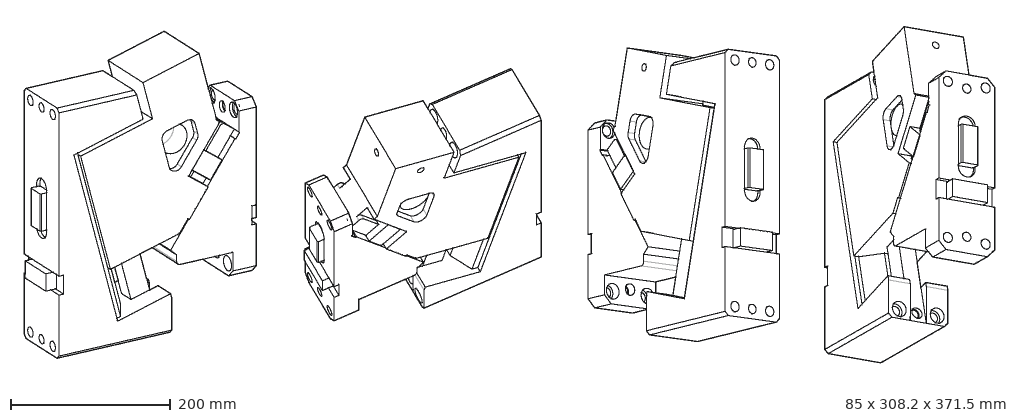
import cadquery as cq
import math

THROUGH = 1486.5

TILT = math.radians(15.0)
BORE_Y = 173.0
OVERALL_HEIGHT = 371.5
HEAD_TOP = 100.5
HEAD_BACK = 60.0
BORE_Z = OVERALL_HEIGHT - HEAD_TOP * math.cos(TILT) - HEAD_BACK * math.sin(TILT)
SEAM_ANGLE = math.radians(54.4)
SEAM_FOOT_Y = 164.5
SEAM_FOOT_Z = 112.2
SEAM_LENGTH = 171.3

SIDE_PLANE = cq.Plane.YZ()
TILTED_PLANE = cq.Plane(
    origin=(0, BORE_Y, BORE_Z), xDir=(0, math.cos(TILT), math.sin(TILT)), normal=(1, 0, 0)
)
SEAM_PLANE = cq.Plane(
    origin=(0, SEAM_FOOT_Y, SEAM_FOOT_Z),
    xDir=(0, math.cos(SEAM_ANGLE), math.sin(SEAM_ANGLE)),
    normal=(1, 0, 0),
)

HOUSING_WIDTH = 85.0
HOUSING_DEPTH = 165.0
HOUSING_HEIGHT = 339.5
HOUSING_CHAMFER = 5.0
NOTCH_TOP = 52.5
NOTCH_BOTTOM = -195.0
NOTCH_FRONT = -142.7
UPPER_ARM_END = -38.0
LOWER_ARM_END = -62.5
PAD_WIDTH = 71.5
PAD_TIP_WIDTH = 15.5
PAD_SHOULDER = -134.0
PAD_TIP = -117.0
BAR_FRONT = -103.3
BAR_BACK = -75.0
BAR_WIDTH = 23.0

SLIDER_WIDTH = HOUSING_WIDTH
SLIDER_FRONT = PAD_SHOULDER
SLIDER_SHOULDER = 46.5
SLIDER_BOTTOM = -122.2
HEAD_FRONT = -25.3
BORE_DIAMETER = 40.0
WINDOW_TOP = 20.8
WINDOW_FRONT = -20.0
WINDOW_BACK = 29.7
WINDOW_SLANT = -8.5
WINDOW_FILLET = 10.0
WINDOW_DEPTH = 10.0
OIL_HOLE_DIAMETER = 9.3
OIL_HOLE_HEIGHT = 80.3
OIL_HOLE_SETBACK = 18.0

TONGUE_WIDTH = 59.5
NECK_WIDTH = 47.0
TONGUE_LENGTH = 78.8
TONGUE_THICKNESS = 22.3
TONGUE_FILLET = 5.0
TONGUE_RECESS = 35.5
LUG_START = 101.0
LUG_LENGTH = 29.5
LUG_HEIGHT = 33.0
LUG_SPAN = 78.0
SEAM_GAP = 0.5
HEEL_RELIEF = 3.0
HEEL_LENGTH = 45.5
TIP_RELIEF = 1.5
TIP_RELIEF_LENGTH = 9.5

BRACKET_WIDTH = 80.3
BRACKET_BACK = 290.2
BRACKET_TOP = 290.2
BRACKET_BOTTOM = 54.3
BRACKET_CHAMFER = 10.5
UPPER_PLATE_FRONT = SEAM_FOOT_Y + SEAM_LENGTH * math.cos(SEAM_ANGLE)
LOWER_PLATE_FRONT = 255.5
WEDGE_BOTTOM = 90.0
WEDGE_FRONT = 173.5
WEDGE_NOSE_TOP = 104.0
WEDGE_FILLET = 5.2

HOLE_SPACING = 27.0
SCREW_DIAMETER = 13.0
SCREW_HEAD_DIAMETER = 19.7
PIN_DIAMETER = 12.0
PIN_HEAD_DIAMETER = 14.5
HOUSING_HOLE_MARGIN = 12.5
UPPER_ARM_SEAT_Y = 104.0
LOWER_ARM_SEAT_Y = 154.0
BRACKET_TOP_HOLE_MARGIN = 13.5
BRACKET_BOTTOM_HOLE_MARGIN = 16.5
BRACKET_HEAD_RECESS = 4.5
BRACKET_PIN_INSET = 5.2

KEY_RISE = 9.0
TAB_WIDTH = 24.0
TAB_HEIGHT = 50.5
TAB_SLOT_HEIGHT = 80.3
TAB_SLOT_DEPTH = 5.0
TAB_CHAMFER = 1.5
HOUSING_TAB_Z = 190.2
BRACKET_TAB_Z = 195.0
CROSS_KEY_WIDTH = 50.0
CROSS_KEY_HEIGHT = 23.5
GROOVE_HEIGHT = 25.5
GROOVE_DEPTH = 6.7
HOUSING_KEY_Z = 100.5
BRACKET_KEY_Z = 134.0


def slab(plane, points, width):
    """Polygon on a side-on plane, extruded evenly to both sides of X = 0."""
    return cq.Workplane(plane).polyline(points).close().extrude(width / 2, both=True)


def block(plane, low, high, width):
    """Rectangle between two corners on a side-on plane, extruded evenly to both sides of X = 0."""
    (a0, b0), (a1, b1) = low, high
    return slab(plane, [(a0, b0), (a1, b0), (a1, b1), (a0, b1)], width)


def cylinder(x, y, z, diameter, length):
    """Cylinder along +Y that starts at the given point."""
    return cq.Workplane("XY").add(
        cq.Solid.makeCylinder(diameter / 2, length, cq.Vector(x, y, z), cq.Vector(0, 1, 0))
    )


def screw_row(screw_z, pin_z, seat_y, head_side):
    """Two screw holes with a pin hole between them, each widened for its head beyond the seat.

    `head_side` is +1 or -1, the Y direction from the seat towards the heads.
    """
    head_start = seat_y if head_side > 0 else seat_y - THROUGH
    holes = cq.Workplane("XY")
    for column in (-1, 0, 1):
        is_pin = column == 0
        x = column * HOLE_SPACING
        z = pin_z if is_pin else screw_z
        shank_diameter = PIN_DIAMETER if is_pin else SCREW_DIAMETER
        head_diameter = PIN_HEAD_DIAMETER if is_pin else SCREW_HEAD_DIAMETER
        holes = holes.add(cylinder(x, -THROUGH / 2, z, shank_diameter, THROUGH))
        holes = holes.add(cylinder(x, head_start, z, head_diameter, THROUGH))
    return holes.combine()


def add_keys(body, face, outward, tab_z, key_z, width):
    """Slot and groove in a mounting face, each with a key that stands proud of it."""
    slot = (
        cq.Workplane("XZ", origin=(0, face, tab_z))
        .slot2D(TAB_SLOT_HEIGHT, TAB_WIDTH, 90)
        .extrude(TAB_SLOT_DEPTH, both=True)
    )
    groove = cq.Workplane("XY").box(width, 2 * GROOVE_DEPTH, GROOVE_HEIGHT).translate((0, face, key_z))
    tab_length = KEY_RISE + TAB_SLOT_DEPTH
    tab = cq.Workplane("XY").box(TAB_WIDTH, tab_length, TAB_HEIGHT).edges("|Z").chamfer(TAB_CHAMFER)
    tab = tab.translate((0, face + outward * (KEY_RISE - tab_length / 2), tab_z))
    key_length = KEY_RISE + GROOVE_DEPTH
    key = cq.Workplane("XY").box(CROSS_KEY_WIDTH, key_length, CROSS_KEY_HEIGHT)
    key = key.translate((0, face + outward * (KEY_RISE - key_length / 2), key_z))
    return body.cut(slot).cut(groove).union(tab).union(key)


def chamfered_box(width, chamfer, y_front, y_back, z_bottom, z_top):
    """Box whose four edges along Y are chamfered."""
    box = cq.Workplane("XY").box(width, y_back - y_front, z_top - z_bottom)
    box = box.edges("|Y").chamfer(chamfer)
    return box.translate((0, (y_front + y_back) / 2, (z_bottom + z_top) / 2))


def guide_pad():
    """Pad on the notch wall: a straight foot, then flanks that taper towards its back."""
    pad = [
        (-PAD_WIDTH / 2, NOTCH_FRONT),
        (PAD_WIDTH / 2, NOTCH_FRONT),
        (PAD_WIDTH / 2, PAD_SHOULDER),
        (PAD_TIP_WIDTH / 2, PAD_TIP),
        (-PAD_TIP_WIDTH / 2, PAD_TIP),
        (-PAD_WIDTH / 2, PAD_SHOULDER),
    ]
    cross_section = cq.Plane(
        origin=TILTED_PLANE.toWorldCoords((0, NOTCH_BOTTOM)), xDir=(1, 0, 0), normal=TILTED_PLANE.yDir
    )
    return cq.Workplane(cross_section).polyline(pad).close().extrude(NOTCH_TOP - NOTCH_BOTTOM)


def guide_bar():
    return block(TILTED_PLANE, (BAR_FRONT, NOTCH_BOTTOM), (BAR_BACK, NOTCH_TOP), BAR_WIDTH)


def make_housing():
    body = chamfered_box(HOUSING_WIDTH, HOUSING_CHAMFER, 0, HOUSING_DEPTH, 0, HOUSING_HEIGHT)
    notch = block(TILTED_PLANE, (NOTCH_FRONT, NOTCH_BOTTOM), (THROUGH, NOTCH_TOP), THROUGH)
    above_arm = block(TILTED_PLANE, (UPPER_ARM_END, NOTCH_TOP), (THROUGH, THROUGH), THROUGH)
    below_arm = block(TILTED_PLANE, (LOWER_ARM_END, -THROUGH), (THROUGH, NOTCH_BOTTOM), THROUGH)
    arm_slot = block(TILTED_PLANE, (BAR_BACK, -THROUGH), (THROUGH, NOTCH_BOTTOM), BAR_WIDTH)
    body = body.cut(notch).cut(above_arm).cut(below_arm).cut(arm_slot)
    upper_z = HOUSING_HEIGHT - HOUSING_HOLE_MARGIN
    lower_z = HOUSING_HOLE_MARGIN
    body = body.cut(screw_row(upper_z, upper_z, UPPER_ARM_SEAT_Y, 1))
    body = body.cut(screw_row(lower_z, lower_z, LOWER_ARM_SEAT_Y, 1))
    body = body.union(guide_pad()).union(guide_bar())
    return add_keys(body, 0, -1, HOUSING_TAB_Z, HOUSING_KEY_Z, HOUSING_WIDTH)


def tongue_cutters():
    """Material removed around the T-shaped tongue: one pocket per side, undercut at the neck."""
    tongue_foot = SEAM_LENGTH - TONGUE_LENGTH
    recess = block(SEAM_PLANE, (tongue_foot, 0), (SEAM_LENGTH, TONGUE_RECESS), SLIDER_WIDTH)
    head = block(SEAM_PLANE, (tongue_foot, 0), (SEAM_LENGTH, TONGUE_THICKNESS), TONGUE_WIDTH)
    head = head.edges("|X").edges(
        cq.selectors.NearestToPointSelector(SEAM_PLANE.toWorldCoords((SEAM_LENGTH, TONGUE_THICKNESS)))
    ).fillet(TONGUE_FILLET)
    neck = block(SEAM_PLANE, (tongue_foot, 0), (SEAM_LENGTH, TONGUE_RECESS), NECK_WIDTH)
    return recess.cut(head).cut(neck)


def window_pocket():
    """Rounded four-sided pocket around the bore, its slanted edge parallel to the seam."""
    slope = math.tan(SEAM_ANGLE - TILT)
    front_low = WINDOW_SLANT - (WINDOW_BACK - WINDOW_FRONT) * slope
    points = [
        (WINDOW_FRONT, WINDOW_TOP),
        (WINDOW_BACK, WINDOW_TOP),
        (WINDOW_BACK, WINDOW_SLANT),
        (WINDOW_FRONT, front_low),
    ]
    outer = slab(TILTED_PLANE, points, SLIDER_WIDTH).edges("|X").fillet(WINDOW_FILLET)
    core = cq.Workplane("XY").box(SLIDER_WIDTH - 2 * WINDOW_DEPTH, THROUGH, THROUGH)
    return outer.cut(core)


def oil_holes():
    """Hole from the left side to the middle, met there by a hole from the back of the head."""
    back_to_front = cq.Vector(*[-c for c in TILTED_PLANE.xDir.toTuple()])
    start = TILTED_PLANE.toWorldCoords((HEAD_BACK, OIL_HOLE_HEIGHT))
    length = HEAD_BACK - OIL_HOLE_SETBACK + OIL_HOLE_DIAMETER / 2
    back_hole = cq.Solid.makeCylinder(OIL_HOLE_DIAMETER / 2, length, start, back_to_front)
    crossing = TILTED_PLANE.toWorldCoords((OIL_HOLE_SETBACK, OIL_HOLE_HEIGHT))
    side_hole = cq.Solid.makeCylinder(OIL_HOLE_DIAMETER / 2, THROUGH, crossing, cq.Vector(-1, 0, 0))
    return cq.Workplane("XY").add(back_hole).add(side_hole).combine()


def make_slider():
    head = block(TILTED_PLANE, (HEAD_FRONT, SLIDER_BOTTOM), (HEAD_BACK, HEAD_TOP), SLIDER_WIDTH)
    foot = block(TILTED_PLANE, (SLIDER_FRONT, SLIDER_BOTTOM), (HEAD_FRONT, SLIDER_SHOULDER), SLIDER_WIDTH)
    tail = block(SEAM_PLANE, (0, 0), (SEAM_LENGTH, SEAM_LENGTH / 2), SLIDER_WIDTH)
    below_slider = block(TILTED_PLANE, (-THROUGH, -THROUGH), (THROUGH, SLIDER_BOTTOM), THROUGH)
    body = head.union(foot).union(tail.cut(below_slider))
    behind_seam = block(SEAM_PLANE, (-THROUGH, -THROUGH), (THROUGH, SEAM_GAP), THROUGH)
    heel = block(SEAM_PLANE, (-THROUGH, 0), (HEEL_LENGTH, HEEL_RELIEF), THROUGH)
    bore = cq.Workplane(TILTED_PLANE).circle(BORE_DIAMETER / 2).extrude(THROUGH, both=True)
    body = body.cut(behind_seam).cut(heel).cut(tongue_cutters())
    body = body.cut(guide_pad()).cut(guide_bar())
    return body.cut(bore).cut(window_pocket()).cut(oil_holes())


def lugs():
    """Pair of lugs that stand beside the tongue and hook over its ledges."""
    end = LUG_START + LUG_LENGTH
    span = block(SEAM_PLANE, (LUG_START, 0), (end, LUG_HEIGHT), LUG_SPAN)
    tongue = block(SEAM_PLANE, (LUG_START, 0), (end, TONGUE_THICKNESS), TONGUE_WIDTH)
    neck = block(SEAM_PLANE, (LUG_START, 0), (end, LUG_HEIGHT), NECK_WIDTH)
    return span.cut(tongue).cut(neck)


def wedge_body():
    """Upright plate with a wedge whose sloping face carries the slider; plate corners chamfered."""
    seam_top = SEAM_FOOT_Z + SEAM_LENGTH * math.sin(SEAM_ANGLE)
    fillet_inset = WEDGE_FILLET * (1 - math.sqrt(0.5))
    wedge = (
        cq.Workplane(SIDE_PLANE)
        .moveTo(BRACKET_BACK, BRACKET_TOP)
        .lineTo(UPPER_PLATE_FRONT, BRACKET_TOP)
        .lineTo(UPPER_PLATE_FRONT, seam_top)
        .lineTo(SEAM_FOOT_Y, SEAM_FOOT_Z)
        .lineTo(WEDGE_FRONT, WEDGE_NOSE_TOP)
        .lineTo(WEDGE_FRONT, WEDGE_BOTTOM + WEDGE_FILLET)
        .threePointArc(
            (WEDGE_FRONT + fillet_inset, WEDGE_BOTTOM + fillet_inset),
            (WEDGE_FRONT + WEDGE_FILLET, WEDGE_BOTTOM),
        )
        .lineTo(LOWER_PLATE_FRONT, WEDGE_BOTTOM)
        .lineTo(LOWER_PLATE_FRONT, BRACKET_BOTTOM)
        .lineTo(BRACKET_BACK, BRACKET_BOTTOM)
        .close()
        .extrude(BRACKET_WIDTH / 2, both=True)
    )
    envelope = chamfered_box(
        BRACKET_WIDTH, BRACKET_CHAMFER, SEAM_FOOT_Y, BRACKET_BACK, BRACKET_BOTTOM, BRACKET_TOP
    )
    return wedge.intersect(envelope)


def make_bracket():
    tip_relief = block(
        SEAM_PLANE, (SEAM_LENGTH - TIP_RELIEF_LENGTH, -TIP_RELIEF), (SEAM_LENGTH, 0), BRACKET_WIDTH
    )
    body = wedge_body().cut(tip_relief).union(lugs())
    upper_z = BRACKET_TOP - BRACKET_TOP_HOLE_MARGIN
    lower_z = BRACKET_BOTTOM + BRACKET_BOTTOM_HOLE_MARGIN
    seat_y = UPPER_PLATE_FRONT + BRACKET_HEAD_RECESS
    body = body.cut(screw_row(upper_z, upper_z - BRACKET_PIN_INSET, seat_y, -1))
    body = body.cut(screw_row(lower_z, lower_z + BRACKET_PIN_INSET, seat_y, -1))
    return add_keys(body, BRACKET_BACK, 1, BRACKET_TAB_Z, BRACKET_KEY_Z, BRACKET_WIDTH)


housing = make_housing()
slider = make_slider()
bracket = make_bracket()

result = cq.Compound.makeCompound([housing.val(), slider.val(), bracket.val()])